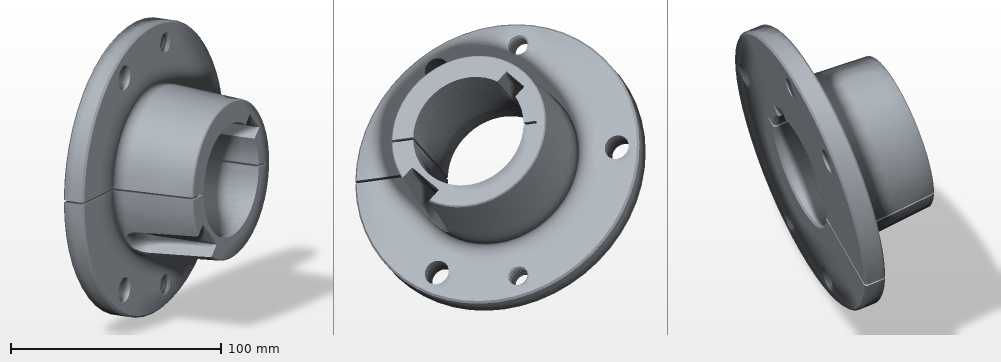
import cadquery as cq
import math

flange_diameter = 142.9
flange_thickness = 11.0
flange_chamfer = 1.0

length = 52.5
hub_radius = 41.3
hub_root_fillet = 0.5
hub_end_radius = 38.7
hub_straight_end = 16.0
hub_end_chamfer = 0.6

bore_radius = 27.7
relief_radius = 28.0
relief_depth = 11.0
relief_chamfer = 1.0

key_angle = 45.0
keyway_width = 12.7
keyway_reach = 33.5
keyseat_width = 19.0
keyseat_floor = 30.5
keyseat_start = 12.9
keyseat_corner_radius = 7.5

slit_width = 1.3
slit_reach = 34.2

bolt_circle_radius = 60.3
bolt_hole_diameter = 12.0
bolt_hole_angles = (0.0, 120.0, 240.0)

jack_hole_angle = 80.0
thread_minor_diameter = 9.5
thread_depth = 0.9
thread_pitch = 1.9
thread_flank_angle = 30.0
thread_root_width = 0.23
thread_start_angle = 60.0
thread_overlap = 0.1


def make_body():
    """Flange and tapered hub, revolved about the X axis."""
    flange_radius = flange_diameter / 2
    taper_slope = (hub_radius - hub_end_radius) / (length - hub_straight_end)
    chamfer_start_radius = hub_end_radius + taper_slope * hub_end_chamfer
    fillet_end = (flange_thickness + hub_root_fillet, hub_radius)
    profile = (
        cq.Workplane("XY")
        .lineTo(0, flange_radius - flange_chamfer)
        .lineTo(flange_chamfer, flange_radius)
        .lineTo(flange_thickness - flange_chamfer, flange_radius)
        .lineTo(flange_thickness, flange_radius - flange_chamfer)
        .lineTo(flange_thickness, hub_radius + hub_root_fillet)
        .tangentArcPoint(fillet_end, relative=False)
        .lineTo(hub_straight_end, hub_radius)
        .lineTo(length - hub_end_chamfer, chamfer_start_radius)
        .lineTo(length, hub_end_radius - hub_end_chamfer)
        .lineTo(length, 0)
        .close()
    )
    return profile.revolve(360, (0, 0, 0), (1, 0, 0))


def make_bore():
    """Through bore with a chamfered relief at the flange face."""
    profile = [
        (0, 0),
        (0, relief_radius + relief_chamfer),
        (relief_chamfer, relief_radius),
        (relief_depth, relief_radius),
        (relief_depth, bore_radius),
        (length, bore_radius),
        (length, 0),
    ]
    return cq.Workplane("XY").polyline(profile).close().revolve(360, (0, 0, 0), (1, 0, 0))


def make_keyway():
    """Full-length key slot cut outward from the bore."""
    slot = cq.Workplane("XY").box(length, keyway_reach, keyway_width, centered=(False, False, True))
    return slot.rotate((0, 0, 0), (1, 0, 0), key_angle)


def make_keyseat():
    """Round-cornered key slot in the outside of the hub, open at the hub's free end."""
    seat_length = length - keyseat_start
    seat_depth = flange_diameter / 2 - keyseat_floor
    seat = (
        cq.Workplane("XY")
        .box(seat_length, seat_depth, keyseat_width, centered=(False, False, True))
        .edges("|Y and <X")
        .fillet(keyseat_corner_radius)
        .translate((keyseat_start, keyseat_floor, 0))
    )
    return seat.rotate((0, 0, 0), (1, 0, 0), 180 + key_angle)


def make_slit():
    """Slit through the -Y wall that ends blind inside the +Y wall."""
    slit_length = flange_diameter / 2 + slit_reach
    slit = cq.Workplane("XY").box(length, slit_length, slit_width, centered=(False, False, True))
    return slit.translate((0, -flange_diameter / 2, 0))


def bolt_circle_point(angle):
    """Y and Z of a point on the bolt circle, with the angle measured from +Y toward +Z."""
    turn = math.radians(angle)
    return bolt_circle_radius * math.cos(turn), bolt_circle_radius * math.sin(turn)


def make_bolt_holes():
    """Plain clearance holes through the flange."""
    centers = [bolt_circle_point(angle) for angle in bolt_hole_angles]
    return cq.Workplane("YZ").pushPoints(centers).circle(bolt_hole_diameter / 2).extrude(flange_thickness)


def make_thread_groove():
    """Helical V groove around the Z axis that runs one turn past both flange faces."""
    minor_radius = thread_minor_diameter / 2
    inner_radius = minor_radius - thread_overlap
    major_radius = minor_radius + thread_depth
    root_half = thread_root_width / 2
    flank_rise = (major_radius - inner_radius) * math.tan(math.radians(thread_flank_angle))
    mouth_half = root_half + flank_rise
    helix = cq.Wire.makeHelix(thread_pitch, flange_thickness + 2 * thread_pitch, minor_radius)
    groove = (
        cq.Workplane("XZ")
        .polyline([
            (inner_radius, -mouth_half),
            (major_radius, -root_half),
            (major_radius, root_half),
            (inner_radius, mouth_half),
        ])
        .close()
        .sweep(cq.Workplane(obj=helix), isFrenet=True)
    )
    return groove.translate((0, 0, -thread_pitch))


def make_jack_holes():
    """Thread groove and then its minor-diameter hole, followed by their mirror images below the XY plane."""
    center_y, center_z = bolt_circle_point(jack_hole_angle)
    start = math.radians(thread_start_angle)
    hole_plane = cq.Plane(
        origin=(0, center_y, center_z),
        xDir=(0, math.cos(start), math.sin(start)),
        normal=(1, 0, 0),
    )
    hole = cq.Workplane("XY").circle(thread_minor_diameter / 2).extrude(flange_thickness)
    upper_cuts = [
        cq.Workplane(cut.val().moved(cq.Location(hole_plane)))
        for cut in (make_thread_groove(), hole)
    ]
    lower_cuts = [cut.mirror("XY") for cut in upper_cuts]
    return upper_cuts + lower_cuts


result = (
    make_body()
    .cut(make_bore())
    .cut(make_keyway())
    .cut(make_keyseat())
    .cut(make_slit())
    .cut(make_bolt_holes())
)
for jack_cut in make_jack_holes():
    result = result.cut(jack_cut)